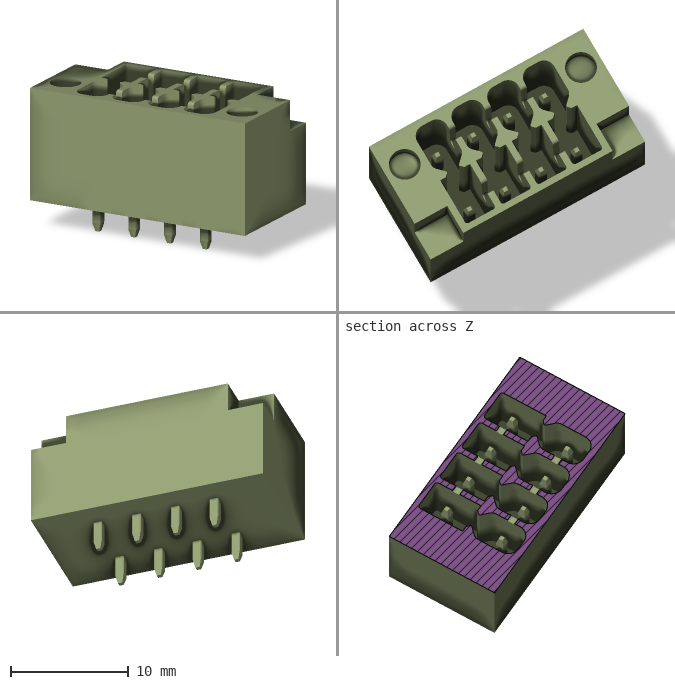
import cadquery as cq

body_length = 21.0
body_depth = 10.6
body_height = 10.0

step_length = 3.2
step_depth = 2.75
step_height = 2.75

pole_count = 4
pole_pitch = body_length / (pole_count + 2)
row_spacing = 5.5
pole_xs = [(i - (pole_count - 1) / 2) * pole_pitch for i in range(pole_count)]
row_ys = [-row_spacing / 2, row_spacing / 2]

pin_width = 0.8
pin_edge_chamfer = 0.08
pin_tip_width = 0.38
pin_tip_length = 0.8
pin_tail = 2.6
pin_top = 6.0

pocket_width = 2.92
pocket_depth = 8.0
back_wall = 0.55
front_wall = 0.65
back_corner_radius = 0.25
front_corner_radius = 1.0

nub_back_y = 0.3
nub_reach = 0.85
nub_chamfer = 0.3
nub_tip_flat = 0.13
nub_root_radius = 0.75

slot_depth = 3.5
slot_top_width = 0.97
slot_floor_width = 0.74
slot_rim_radius = 0.3
slot_floor_radius = 0.25
slot_lip = 1.05

hole_diameter = 2.7
hole_depth = 1.3
hole_end_inset = 1.87
hole_front_inset = 2.88


pick_margin = 0.02


def edges_along_z(half_width, y):
    """Selects the upright edges at depth y within half_width of a pocket's centre."""
    reach = half_width + pick_margin
    near = (-reach, y - pick_margin, 0)
    far = (reach, y + pick_margin, pocket_depth)
    return cq.selectors.ParallelDirSelector(cq.Vector(0, 0, 1)) & cq.selectors.BoxSelector(near, far)


def edges_along_x(half_width, z):
    """Selects the lengthwise edges at height z within half_width of a slot's centre plane."""
    reach = half_width + pick_margin
    near = (-body_length / 2, -reach, z - pick_margin)
    far = (body_length / 2, reach, z + pick_margin)
    return cq.selectors.ParallelDirSelector(cq.Vector(1, 0, 0)) & cq.selectors.BoxSelector(near, far)


def make_housing():
    housing = cq.Workplane("XY").box(body_length, body_depth, body_height, centered=(True, True, False))
    for side in (-1, 1):
        step = cq.Workplane("XY").box(step_length, step_depth, step_height).translate((
            side * (body_length - step_length) / 2,
            (body_depth - step_depth) / 2,
            body_height - step_height / 2,
        ))
        housing = housing.cut(step)
    return housing


def make_pocket(x):
    """Pocket cavity: a square-ended back cell and a round-ended front cell joined by a neck."""
    half = pocket_width / 2
    neck_half = half - nub_reach
    back_y = body_depth / 2 - back_wall
    front_y = -body_depth / 2 + front_wall
    neck_back_y = nub_back_y - nub_chamfer
    neck_front_y = neck_back_y - nub_tip_flat
    root_y = neck_front_y - nub_reach
    right_side = [
        (half, back_y),
        (half, nub_back_y),
        (neck_half + nub_chamfer, nub_back_y),
        (neck_half, neck_back_y),
        (neck_half, neck_front_y),
        (half, root_y),
        (half, front_y),
    ]
    left_side = [(-px, py) for px, py in reversed(right_side)]

    pocket = cq.Workplane("XY").polyline(right_side + left_side).close().extrude(pocket_depth)
    pocket = pocket.edges(edges_along_z(half, back_y)).fillet(back_corner_radius)
    pocket = pocket.edges(edges_along_z(half, root_y)).fillet(nub_root_radius)
    pocket = pocket.edges(edges_along_z(half, front_y)).fillet(front_corner_radius)
    return pocket.translate((x, 0, body_height - pocket_depth))


def make_slot(y):
    """Tapered slot crossing every dividing wall, with a rounded rim and rounded floor corners."""
    length = (pole_count - 1) * pole_pitch
    top_half = slot_top_width / 2
    floor_half = slot_floor_width / 2
    lip_half = top_half + slot_lip
    right_side = [
        (floor_half, -slot_depth),
        (top_half, 0),
        (lip_half, 0),
        (lip_half, slot_lip),
    ]
    left_side = [(-py, pz) for py, pz in reversed(right_side)]
    slot = cq.Workplane("YZ").polyline(right_side + left_side).close().extrude(length / 2, both=True)
    slot = slot.edges(edges_along_x(floor_half, -slot_depth)).fillet(slot_floor_radius)
    slot = slot.edges(edges_along_x(top_half, 0)).fillet(slot_rim_radius)
    return slot.translate((0, y, body_height))


def make_pin(x, y):
    """Square pin with chamfered long edges and a tapered tip at each end."""
    length = pin_tail + pin_top
    shank_length = length - 2 * pin_tip_length
    shank = cq.Workplane("XY").rect(pin_width, pin_width).extrude(length)
    shank = shank.edges("|Z").chamfer(pin_edge_chamfer)
    lower_tip = (
        cq.Workplane("XY")
        .rect(pin_tip_width, pin_tip_width)
        .workplane(offset=pin_tip_length)
        .rect(pin_width, pin_width)
        .loft()
    )
    upper_tip = lower_tip.mirror("XY").translate((0, 0, length))
    middle = cq.Workplane("XY").workplane(offset=pin_tip_length).rect(pin_width, pin_width).extrude(shank_length)
    pointed_bar = middle.union(lower_tip).union(upper_tip)
    return shank.intersect(pointed_bar).translate((x, y, -pin_tail))


def make_hole(side):
    """Blind hole in the top face near one end; side is -1 for left and 1 for right."""
    return cq.Workplane("XY").circle(hole_diameter / 2).extrude(hole_depth).translate((
        side * (body_length / 2 - hole_end_inset),
        -body_depth / 2 + hole_front_inset,
        body_height - hole_depth,
    ))


result = make_housing()
for side in (-1, 1):
    result = result.cut(make_hole(side))
for x in pole_xs:
    result = result.cut(make_pocket(x))
for y in row_ys:
    result = result.cut(make_slot(y))
for x in pole_xs:
    for y in row_ys:
        result = result.union(make_pin(x, y))